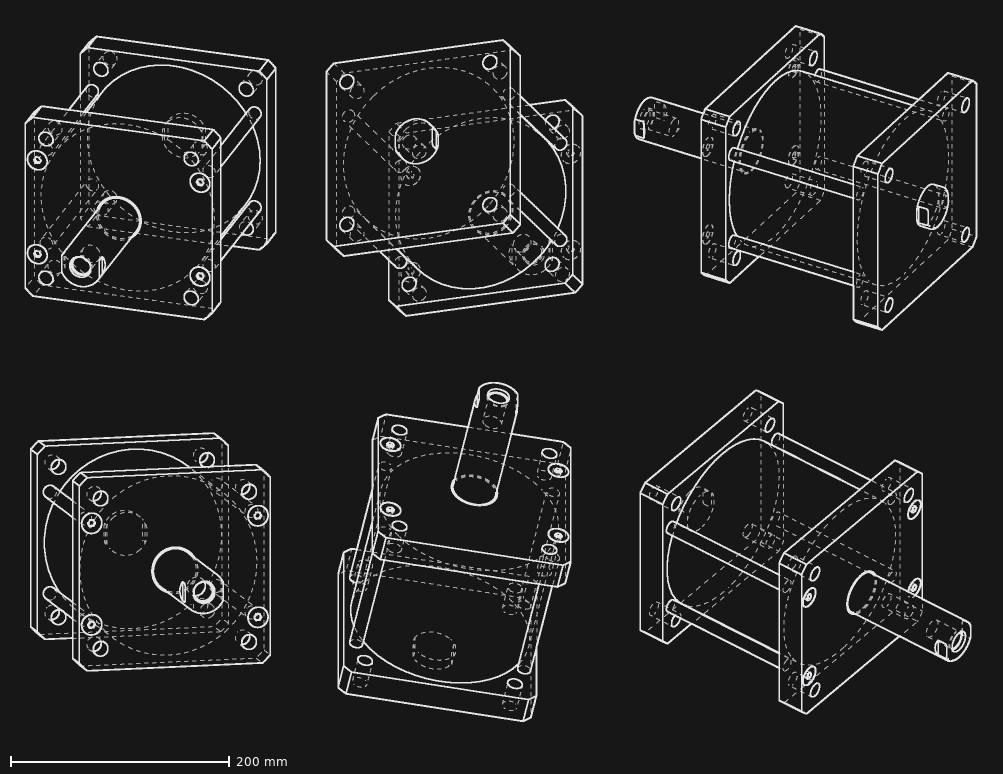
import cadquery as cq
import math

TOTAL_LENGTH = 311.0

PLATE_SIDE = 180.0
PLATE_THICKNESS = 26.0
CORNER_TURN_DIAMETER = 244.5
FRONT_OVERHANG = 112.3
REAR_OVERHANG = 11.5
MOUNTING_HOLE_DIAMETER = 13.7
MOUNTING_HOLE_OFFSET = 70.0

BODY_DIAMETER = 167.0

ROD_DIAMETER = 12.0
ROD_OFFSET_X = 78.5
ROD_OFFSET_Z = 47.3
SEAT_DIAMETER = 19.0
SEAT_DEPTH = 0.3
SOCKET_ACROSS_FLATS = 6.0
SOCKET_DEPTH = 2.8

SHAFT_DIAMETER = 40.0
SHAFT_FILLET = 1.5
FLAT_WIDTH = 36.0
FLAT_LENGTH = 10.0
CLEARANCE_DIAMETER = 43.0
CLEARANCE_DEPTH = 1.0

BORE_DIAMETER = 17.5
BORE_MOUTH_DIAMETER = 20.2
BORE_MOUTH_DEPTH = 4.0
BORE_DEPTH = 31.0
DRILL_POINT_ANGLE = 118.0

front_plate_y = FRONT_OVERHANG
body_y = front_plate_y + PLATE_THICKNESS
rear_plate_y = TOTAL_LENGTH - REAR_OVERHANG - PLATE_THICKNESS
body_length = rear_plate_y - body_y

mounting_points = [
    (x, z)
    for x in (-MOUNTING_HOLE_OFFSET, MOUNTING_HOLE_OFFSET)
    for z in (-MOUNTING_HOLE_OFFSET, MOUNTING_HOLE_OFFSET)
]
rod_points = [(x, z) for x in (-ROD_OFFSET_X, ROD_OFFSET_X) for z in (-ROD_OFFSET_Z, ROD_OFFSET_Z)]


def sketch_plane(y):
    """Workplane at position y along the axis, local axes X and Z, extruding toward +Y."""
    return cq.Workplane(cq.Plane(origin=(0, y, 0), xDir=(1, 0, 0), normal=(0, 1, 0)))


def cylinders(points, diameter, y, length):
    return sketch_plane(y).pushPoints(points).circle(diameter / 2).extrude(length)


def cylinder(diameter, y, length):
    return cylinders([(0, 0)], diameter, y, length)


def end_plate(y):
    square = sketch_plane(y).rect(PLATE_SIDE, PLATE_SIDE).extrude(PLATE_THICKNESS)
    plate = square.intersect(cylinder(CORNER_TURN_DIAMETER, y, PLATE_THICKNESS))
    return plate.cut(cylinders(mounting_points, MOUNTING_HOLE_DIAMETER, y, PLATE_THICKNESS))


def hex_sockets():
    across_corners = SOCKET_ACROSS_FLATS / math.cos(math.radians(30))
    outline = sketch_plane(front_plate_y + SEAT_DEPTH).pushPoints(rod_points).polygon(6, across_corners)
    return outline.extrude(SOCKET_DEPTH)


def front_plate():
    """End plate with shallow screw seats, their hexagon sockets and a ring recess around the shaft."""
    plate = end_plate(front_plate_y)
    plate = plate.cut(cylinders(rod_points, SEAT_DIAMETER, front_plate_y, SEAT_DEPTH))
    plate = plate.cut(hex_sockets())
    return plate.cut(cylinder(CLEARANCE_DIAMETER, front_plate_y, CLEARANCE_DEPTH))


def flat_cutters():
    """Cutters for two opposite wrench flats at y = 0, each with a 45 degree run-out."""
    flat_x = FLAT_WIDTH / 2
    outer_x = SHAFT_DIAMETER / 2
    profile = [
        (flat_x, 0),
        (outer_x, 0),
        (outer_x, FLAT_LENGTH + outer_x - flat_x),
        (flat_x, FLAT_LENGTH),
    ]
    cutter = cq.Workplane("XY").polyline(profile).close().extrude(outer_x, both=True)
    return cutter.union(cutter.mirror("YZ"))


def shaft_bore():
    """Drilled hole with a counterbored mouth and a conical bottom."""
    radius = BORE_DIAMETER / 2
    mouth_radius = BORE_MOUTH_DIAMETER / 2
    point_depth = radius / math.tan(math.radians(DRILL_POINT_ANGLE / 2))
    profile = [
        (0, 0),
        (mouth_radius, 0),
        (mouth_radius, BORE_MOUTH_DEPTH),
        (radius, BORE_MOUTH_DEPTH),
        (radius, BORE_DEPTH),
        (0, BORE_DEPTH + point_depth),
    ]
    return cq.Workplane("XY").polyline(profile).close().revolve(360, (0, 0, 0), (0, 1, 0))


def shaft():
    bar = cylinder(SHAFT_DIAMETER, 0, TOTAL_LENGTH).faces("<Y or >Y").fillet(SHAFT_FILLET)
    front_flats = flat_cutters()
    rear_flats = front_flats.mirror("XZ").translate((0, TOTAL_LENGTH, 0))
    return bar.cut(front_flats).cut(rear_flats).cut(shaft_bore())


result = (
    cylinder(BODY_DIAMETER, body_y, body_length)
    .union(cylinders(rod_points, ROD_DIAMETER, body_y, body_length))
    .union(front_plate())
    .union(end_plate(rear_plate_y))
    .union(shaft())
)